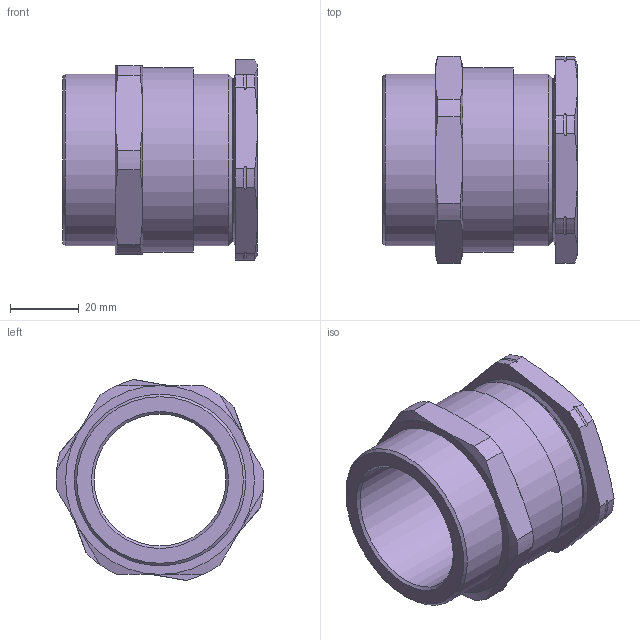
import cadquery as cq
import math

entry_end = 0.0
body_hex_start = 15.3
body_hex_end = 23.3
sleeve_end = 38.1
nut_start = 50.3
total_length = 56.7

thread_radius = 25.0
sleeve_radius = 26.85
bore_radius = 19.2
entry_chamfer = 0.75

relief_chamfer = 1.15
relief_width = 0.3
relief_step = 0.25
flare_length = 0.6

across_flats = 55.0
corner_radius = 30.25
hex_sides = 6
edge_bevel_angle = 15.0
nut_turn = 10.0

groove_radius = 0.45
groove_depth = 0.27
groove_offset = 2.85


def revolve_about_x(points):
    """Solid of revolution from an (x, radius) outline."""
    return cq.Workplane("XY").polyline(points).close().revolve(360, (0, 0, 0), (1, 0, 0))


def hexagon(start, end, bevel_start, turn):
    """Hexagon along X with flats facing +Z and -Z before turning, and rounded, bevelled corners."""
    flat_radius = across_flats / 2
    bevel_length = (corner_radius - flat_radius) * math.tan(math.radians(edge_bevel_angle))
    corner_diameter = across_flats / math.cos(math.pi / hex_sides)
    prism = cq.Workplane("YZ", origin=(start, 0, 0)).polygon(hex_sides, corner_diameter).extrude(end - start)
    outline = [(start, 0)]
    if bevel_start:
        outline += [(start, flat_radius), (start + bevel_length, corner_radius)]
    else:
        outline += [(start, corner_radius)]
    outline += [(end - bevel_length, corner_radius), (end, flat_radius), (end, 0)]
    return prism.intersect(revolve_about_x(outline)).rotate((0, 0, 0), (1, 0, 0), turn)


def round_core():
    """Threaded entry, sleeve, rear thread and the relief leading to the nut."""
    flare_start = nut_start - flare_length
    relief_start = flare_start - relief_width
    chamfer_end_radius = thread_radius - relief_chamfer
    relief_radius = chamfer_end_radius - relief_step
    return revolve_about_x([
        (entry_end, 0),
        (entry_end, thread_radius - entry_chamfer),
        (entry_end + entry_chamfer, thread_radius),
        (body_hex_start, thread_radius),
        (body_hex_start, sleeve_radius),
        (sleeve_end, sleeve_radius),
        (sleeve_end, thread_radius),
        (relief_start - relief_chamfer, thread_radius),
        (relief_start, chamfer_end_radius),
        (relief_start, relief_radius),
        (flare_start, relief_radius),
        (flare_start, chamfer_end_radius),
        (nut_start, thread_radius),
        (total_length, thread_radius),
        (total_length, 0),
    ])


def bore():
    """Through bore with a chamfered entry."""
    return revolve_about_x([
        (entry_end, 0),
        (entry_end, bore_radius + entry_chamfer),
        (entry_end + entry_chamfer, bore_radius),
        (total_length, bore_radius),
        (total_length, 0),
    ])


def nut_groove():
    """Round-bottomed ring that notches only the corners of the nut."""
    centre_radius = corner_radius - groove_depth + groove_radius
    section = cq.Workplane("XY").center(nut_start + groove_offset, centre_radius).circle(groove_radius)
    return section.revolve(360, (0, -centre_radius, 0), (1, -centre_radius, 0))


body_hex = hexagon(body_hex_start, body_hex_end, bevel_start=True, turn=0)
nut = hexagon(nut_start, total_length, bevel_start=False, turn=nut_turn).cut(nut_groove())
result = round_core().union(body_hex).union(nut).cut(bore())